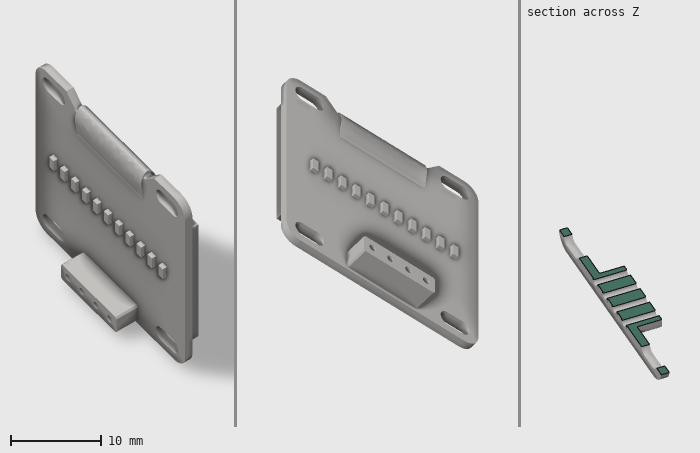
import cadquery as cq


board_size = 27.3
board_thickness = 1.0
corner_radius = 2.05
front_y = -board_thickness

slot_length = 4.1
slot_width = 2.05
slot_spacing_x = 20.67
slot_spacing_z = 23.1

notch_top_width = 16.1
notch_depth = 1.72
notch_bottom_width = notch_top_width - 2 * notch_depth

screen_width = 26.92
screen_height = 18.9
screen_thickness = 0.98
screen_top = screen_height / 2

cable_width = 12.07
cable_root_width = 16.0
cable_taper_radius = 0.98
cable_end_z = 8.08
cable_end_thickness = 0.05
cable_lift_z = 9.72
cable_fold_y = front_y / 2
cable_top = 12.67

cable_outer_curve = [
    (screen_thickness, screen_top),
    (0.68, 11.0),
    (0.08, 12.35),
    (cable_fold_y, cable_top),
    (-1.15, 12.0),
    (-1.36, 10.92),
    (front_y - cable_end_thickness, cable_end_z),
]
cable_inner_curve = [
    (0, cable_lift_z),
    (0.22, 10.78),
    (0.1, 11.88),
    (cable_fold_y, 12.35),
    (-1.06, 11.82),
    (-1.25, 10.92),
    (front_y, cable_lift_z),
]

chip_count = 11
chip_pitch = 2.0
chip_width = 0.8
chip_height = 1.67
chip_thickness = 0.6

pin_count = 4
pin_pitch = 2.55
header_width = 10.1
header_height = pin_pitch
header_depth = 3.0
header_chamfer = 0.22
header_z = -11.9
header_front_y = front_y - header_depth
pin_hole_diameter = 0.9
pad_diameter = 1.55
pad_thickness = 0.08


def centred_positions(count, pitch):
    """X positions of an evenly spaced row centred on the part."""
    return [(i - (count - 1) / 2) * pitch for i in range(count)]


def block(width, depth, height, y_front, z=0.0):
    """Box centred on X = 0 and on the given Z, reaching back from y_front."""
    return cq.Workplane("XY").box(width, depth, height).translate((0, y_front + depth / 2, z))


def make_board():
    board = block(board_size, board_thickness, board_size, front_y).edges("|Y").fillet(corner_radius)
    top = board_size / 2
    notch = (
        cq.Workplane("XZ")
        .moveTo(-notch_top_width / 2, top)
        .lineTo(-notch_bottom_width / 2, top - notch_depth)
        .lineTo(notch_bottom_width / 2, top - notch_depth)
        .lineTo(notch_top_width / 2, top)
        .close()
        .extrude(board_thickness)
    )
    slots = (
        cq.Workplane("XZ")
        .rarray(slot_spacing_x, slot_spacing_z, 2, 2)
        .slot2D(slot_length, slot_width)
        .extrude(board_thickness)
    )
    return board.cut(notch).cut(slots)


def make_cable():
    """Folded loop, thicker at the screen, thinning to a tip lying on the board's front."""
    loop = (
        cq.Workplane("YZ", origin=(-cable_root_width / 2, 0, 0))
        .moveTo(*cable_outer_curve[0])
        .spline(cable_outer_curve[1:], includeCurrent=True)
        .lineTo(front_y, cable_end_z)
        .lineTo(*cable_inner_curve[-1])
        .spline(cable_inner_curve[-2::-1], includeCurrent=True)
        .lineTo(0, screen_top)
        .close()
        .extrude(cable_root_width)
    )
    taper = (cable_root_width - cable_width) / 2
    shoulder_z = screen_top + taper
    trim_top = board_size / 2
    back_outline = (
        cq.Workplane("XZ")
        .moveTo(-cable_root_width / 2, screen_top)
        .lineTo(-cable_width / 2, shoulder_z)
        .lineTo(-cable_width / 2, trim_top)
        .lineTo(cable_width / 2, trim_top)
        .lineTo(cable_width / 2, shoulder_z)
        .lineTo(cable_root_width / 2, screen_top)
        .close()
        .extrude(-screen_thickness)
    )
    shoulder_margin = 0.27
    shoulder = cq.selectors.BoxSelector(
        (-cable_root_width, -screen_thickness, shoulder_z - shoulder_margin),
        (cable_root_width, 2 * screen_thickness, shoulder_z + shoulder_margin),
    )
    back_outline = back_outline.edges(shoulder).fillet(cable_taper_radius)
    front_height = trim_top - cable_end_z
    front_strip = block(cable_width, board_size, front_height, -board_size, cable_end_z + front_height / 2)
    return loop.intersect(back_outline.union(front_strip))


def make_chips():
    chip = block(chip_width, chip_thickness, chip_height, front_y - chip_thickness).val()
    positions = [(x, 0) for x in centred_positions(chip_count, chip_pitch)]
    return cq.Workplane("XY").pushPoints(positions).eachpoint(lambda place: chip.moved(place))


def make_header():
    header = block(header_width, header_depth, header_height, header_front_y, header_z)
    return header.edges("|Y").chamfer(header_chamfer)


def pin_cylinders(diameter, y_front, length):
    """One cylinder per pin, reaching back from y_front."""
    positions = [(x, header_z) for x in centred_positions(pin_count, pin_pitch)]
    plane = cq.Workplane("XZ", origin=(0, y_front, 0))
    return plane.pushPoints(positions).circle(diameter / 2).extrude(-length)


screen = block(screen_width, screen_thickness, screen_height, 0)
pads = pin_cylinders(pad_diameter, 0, pad_thickness)
pin_holes = pin_cylinders(pin_hole_diameter, header_front_y, pad_thickness - header_front_y)

result = make_board().union(screen).union(make_cable())
result = result.union(make_chips()).union(make_header()).union(pads)
result = result.cut(pin_holes)